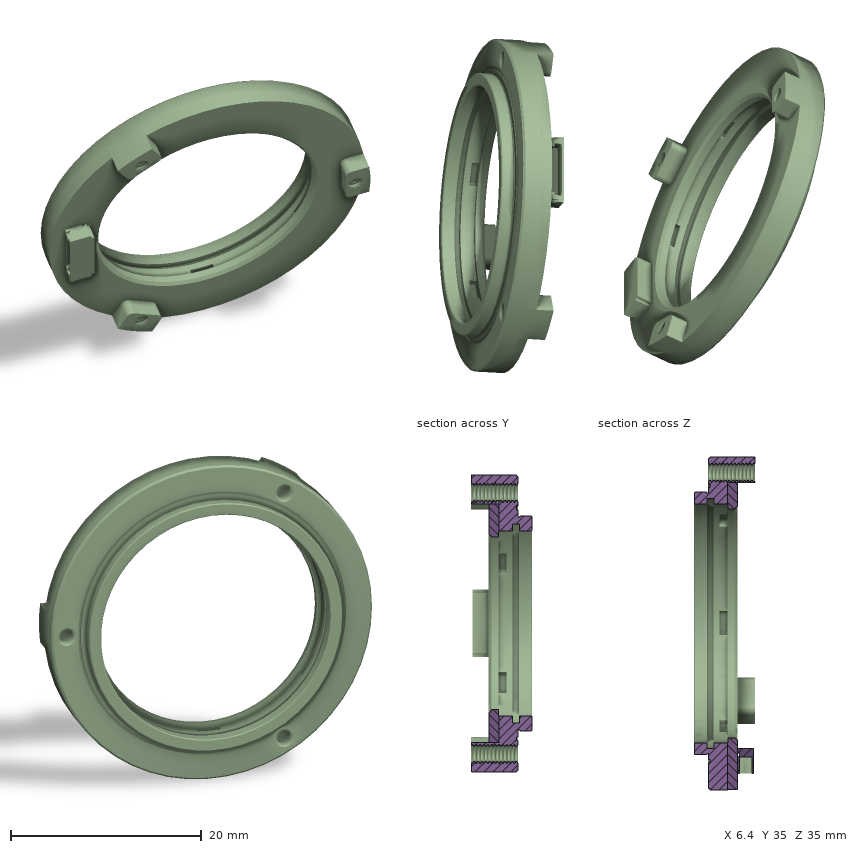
import cadquery as cq
import math

OUTER_DIA = 34.98
OVERALL_LENGTH = 6.4

FLANGE_FRONT = 1.47
SEAM = 3.5
BACK_FACE = 4.55
FLANGE_CHAMFER = 0.2

COLLAR_DIA = 27.6
COLLAR_CHAMFER = 0.1
NECK_LENGTH = 0.1

FACE_GROOVE_OUTER_DIA = 29.2
FACE_GROOVE_INNER_DIA = 28.6
FACE_GROOVE_DEPTH = 0.17

BORE_DIA = 25.0
BORE_MOUTH_DIA = 25.2
UNDERCUT_DIA = 26.2
UNDERCUT_START = 1.35
UNDERCUT_END = 2.03

POCKET_COUNT = 6
POCKET_FIRST_ANGLE = 30.0
POCKET_WIDTH = 2.52
POCKET_DEPTH = 0.8
POCKET_FLOOR_RADIUS = 13.12
POCKET_CORNER_RADIUS = 0.3

TAB_COUNT = 3
TAB_WIDTH = 4.37
TAB_INNER_RADIUS = 14.75
TAB_CORNER_RADIUS = 0.63
HOLE_CIRCLE_RADIUS = 15.8
THREAD_MINOR_DIA = 1.57
THREAD_MAJOR_DIA = 2.0
THREAD_PITCH = 0.4
THREAD_HALF_ANGLE = 30.0

BACK_BORE_DIA = 24.0
BACK_BORE_MOUTH_DIA = 24.6

HOUSING_WIDTH = 7.05
HOUSING_TOP = 6.23
HOUSING_FRONT = -15.78
HOUSING_SHOULDER = -13.43
HOUSING_REAR = -13.12
HOUSING_REAR_WIDTH = 6.3
UNDERSIDE_GAP_START = -13.95
UNDERSIDE_GAP_END = -13.6
UNDERSIDE_GAP = 0.17
SLOT_BOTTOM = 4.75
SLOT_TOP = 6.0
SLOT_WIDTH = 4.95
EAR_BOTTOM = 5.2
EAR_TOP = 5.95
EAR_SPAN = 5.6
SLOT_DEPTH = 1.75

NAIL_HEIGHT = 0.3
NAIL_THICKNESS = 0.3
NAIL_INNER_END = -14.6
RELIEF_TOP = 5.7
RELIEF_DEPTH = 0.42


def box(x_range, y_range, z_range):
    """Box between the given limits on each axis."""
    size = [limits[1] - limits[0] for limits in (x_range, y_range, z_range)]
    corner = (x_range[0], y_range[0], z_range[0])
    return cq.Workplane("XY").box(*size, centered=False).translate(corner)


def revolved(points):
    """Solid of revolution about the X axis from (x, radius) points, drawn on the -Y side."""
    profile = [(x, -radius) for x, radius in points]
    return cq.Workplane("XY").polyline(profile).close().revolve(360, (0, 0, 0), (1, 0, 0))


def around_axis(shape, count, first_angle=0.0):
    """Equally spaced copies of a shape about the X axis, the first turned by first_angle from +Y."""
    step = 360.0 / count
    return [shape.rotate((0, 0, 0), (1, 0, 0), first_angle + i * step) for i in range(count)]


def make_tab_blocks():
    """Straight blocks with rounded inner corners, reaching past the outer diameter where the tabs stand."""
    block = box((SEAM, OVERALL_LENGTH), (TAB_INNER_RADIUS, OUTER_DIA), (-TAB_WIDTH / 2, TAB_WIDTH / 2))
    block = block.edges("|X and <Y").fillet(TAB_CORNER_RADIUS)
    return around_axis(block, TAB_COUNT)


def make_threaded_hole():
    """Through hole at +Y with V-shaped ring grooves at the thread pitch."""
    minor = THREAD_MINOR_DIA / 2
    major = THREAD_MAJOR_DIA / 2
    half_groove = (major - minor) * math.tan(math.radians(THREAD_HALF_ANGLE))
    groove_count = math.ceil((OVERALL_LENGTH - FLANGE_FRONT) / THREAD_PITCH) + 1
    start = FLANGE_FRONT - half_groove
    end = FLANGE_FRONT + (groove_count - 1) * THREAD_PITCH + half_groove
    points = [(start, 0)]
    for i in range(groove_count):
        root = FLANGE_FRONT + i * THREAD_PITCH
        points += [(root - half_groove, minor), (root, major), (root + half_groove, minor)]
    points.append((end, 0))
    return revolved(points).translate((0, HOLE_CIRCLE_RADIUS, 0))


def make_pocket():
    """Pocket at +Y, open to the bore and to the seam, with rounded outer corners."""
    block = box(
        (SEAM - POCKET_DEPTH, SEAM),
        (BACK_BORE_DIA / 2, POCKET_FLOOR_RADIUS),
        (-POCKET_WIDTH / 2, POCKET_WIDTH / 2),
    )
    return block.edges("|X and >Y").fillet(POCKET_CORNER_RADIUS)


def make_mount_ring():
    """Flange with its front collar, undercut bore, pockets and three threaded tabs."""
    outer = OUTER_DIA / 2
    collar = COLLAR_DIA / 2
    bore = BORE_DIA / 2
    mouth = BORE_MOUTH_DIA / 2
    undercut = UNDERCUT_DIA / 2
    collar_back = FLANGE_FRONT - NECK_LENGTH
    ring = revolved([
        (0, mouth),
        (0, collar - COLLAR_CHAMFER),
        (COLLAR_CHAMFER, collar),
        (collar_back - COLLAR_CHAMFER, collar),
        (collar_back, collar - COLLAR_CHAMFER),
        (FLANGE_FRONT, collar - COLLAR_CHAMFER),
        (FLANGE_FRONT, FACE_GROOVE_INNER_DIA / 2),
        (FLANGE_FRONT + FACE_GROOVE_DEPTH, FACE_GROOVE_INNER_DIA / 2),
        (FLANGE_FRONT + FACE_GROOVE_DEPTH, FACE_GROOVE_OUTER_DIA / 2),
        (FLANGE_FRONT, FACE_GROOVE_OUTER_DIA / 2),
        (FLANGE_FRONT, outer - FLANGE_CHAMFER),
        (FLANGE_FRONT + FLANGE_CHAMFER, outer),
        (OVERALL_LENGTH, outer),
        (OVERALL_LENGTH, bore),
        (UNDERCUT_END, bore),
        (UNDERCUT_END, undercut),
        (UNDERCUT_START, undercut),
        (UNDERCUT_START, bore),
        (mouth - bore, bore),
    ])
    between_tabs = cq.Workplane("YZ", origin=(SEAM, 0, 0)).circle(OUTER_DIA).extrude(OVERALL_LENGTH - SEAM)
    for block in make_tab_blocks():
        between_tabs = between_tabs.cut(block)
    ring = ring.cut(between_tabs)
    for pocket in around_axis(make_pocket(), POCKET_COUNT, POCKET_FIRST_ANGLE):
        ring = ring.cut(pocket)
    for hole in around_axis(make_threaded_hole(), TAB_COUNT):
        ring = ring.cut(hole)
    return ring


def make_back_ring():
    """Plain ring behind the seam, notched around the tabs and chamfered at the back of its bore."""
    bore = BACK_BORE_DIA / 2
    mouth = BACK_BORE_MOUTH_DIA / 2
    ring = revolved([
        (SEAM, bore),
        (SEAM, OUTER_DIA / 2),
        (BACK_FACE, OUTER_DIA / 2),
        (BACK_FACE, mouth),
        (BACK_FACE - (mouth - bore), bore),
    ])
    for block in make_tab_blocks():
        ring = ring.cut(block)
    return ring


def make_nail(side):
    """Solder nail in one lower corner of the housing; side is +1 for the +Z end and -1 for the other."""
    z_limits = sorted((side * HOUSING_WIDTH / 2, side * (HOUSING_WIDTH / 2 - NAIL_THICKNESS)))
    return box((BACK_FACE, BACK_FACE + NAIL_HEIGHT), (HOUSING_FRONT, NAIL_INNER_END), z_limits)


def make_relief(side):
    """Wedge above a nail, sloping from the nail to the front of the housing."""
    nail_top = BACK_FACE + NAIL_HEIGHT
    start = HOUSING_WIDTH / 2 - NAIL_THICKNESS if side > 0 else -HOUSING_WIDTH / 2
    corners = [
        (nail_top, HOUSING_FRONT),
        (RELIEF_TOP, HOUSING_FRONT),
        (nail_top, HOUSING_FRONT + RELIEF_DEPTH),
    ]
    return cq.Workplane("XY", origin=(0, 0, start)).polyline(corners).close().extrude(NAIL_THICKNESS)


def make_connector_housing():
    """Connector housing with an eared slot at -Y, a gap under it and corner seats for the nails."""
    def centred(width):
        return (-width / 2, width / 2)

    housing = box((BACK_FACE, HOUSING_TOP), (HOUSING_FRONT, HOUSING_SHOULDER), centred(HOUSING_WIDTH))
    rear = box((BACK_FACE, HOUSING_TOP), (HOUSING_SHOULDER, HOUSING_REAR), centred(HOUSING_REAR_WIDTH))
    housing = housing.union(rear)

    gap_y = (UNDERSIDE_GAP_START, UNDERSIDE_GAP_END)
    housing = housing.cut(box((BACK_FACE, BACK_FACE + UNDERSIDE_GAP), gap_y, centred(HOUSING_WIDTH)))

    slot_y = (HOUSING_FRONT, HOUSING_FRONT + SLOT_DEPTH)
    housing = housing.cut(box((SLOT_BOTTOM, SLOT_TOP), slot_y, centred(SLOT_WIDTH)))
    housing = housing.cut(box((EAR_BOTTOM, EAR_TOP), slot_y, centred(EAR_SPAN)))

    for side in (1, -1):
        housing = housing.cut(make_nail(side)).cut(make_relief(side))
    return housing


mount_ring = make_mount_ring()
back_ring = make_back_ring()
connector_housing = make_connector_housing()
solder_nails = [make_nail(side) for side in (1, -1)]

result = cq.Compound.makeCompound([
    mount_ring.val(),
    back_ring.val(),
    connector_housing.val(),
    *[nail.val() for nail in solder_nails],
])